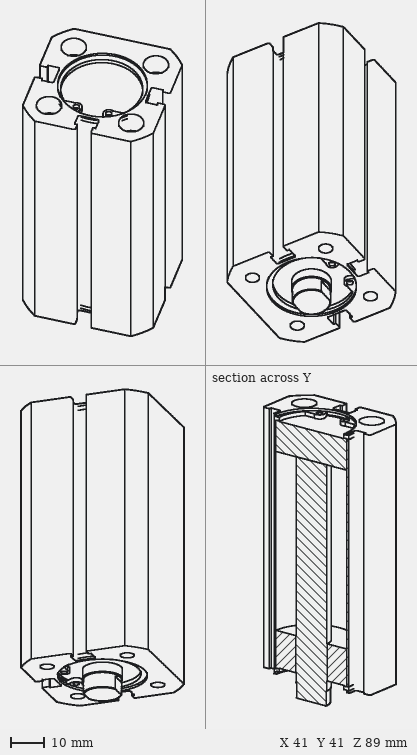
import cadquery as cq
import math

width = 41.0
half_width = width / 2
length = 83.0
corner_radius = 25.45

mouth_width = 4.9
mouth_depth = 2.4
mouth_fillet = 0.5
slot_width = 6.6
slot_depth = 6.1
slot_floor_fillet = 0.5
slot_angles = (-90, 0, 90)

hole_offset = 12.9
hole_diameter = 4.2
counterbore_diameter = 7.6
counterbore_depth = 7.0

bore_diameter = 27.0
groove_diameter = 28.6
ring_inset = 0.75
ring_thickness = 1.3
ring_inner_diameter = 24.7
ring_inner_offset = -0.8
lug_x = 5.1
lug_y = -10.4
lug_radius = 1.75
lug_hole_diameter = 1.9
lug_web_drop = 0.2

head_cover_thickness = 10.0
rod_cover_thickness = 12.0

rod_diameter = 12.0
rod_reach = 6.0
shoulder_reach = 1.2
tip_diameter = 11.5
shoulder_chamfer = (rod_diameter - tip_diameter) / 2
tip_chamfer = 0.2
across_flats = 10.2
flat_start = 1.9

groove_radius = groove_diameter / 2
top_ring_base = length - ring_inset - ring_thickness
bottom_ring_base = ring_inset
head_cover_base = top_ring_base - head_cover_thickness
rod_cover_base = bottom_ring_base + ring_thickness
lug_angle = math.degrees(math.atan2(lug_x, -lug_y))


def disc(diameter, height, base=0.0):
    return cq.Workplane("XY").workplane(offset=base).circle(diameter / 2).extrude(height)


def make_slot():
    """T-slot cutter for the -Y side: flared mouth, then a wider chamber with a rounded floor."""
    mouth_half = mouth_width / 2
    lip_start = -half_width + mouth_fillet
    mouth_end = -half_width + mouth_depth
    mouth = (
        cq.Workplane("XY")
        .moveTo(-mouth_half - mouth_fillet, -half_width)
        .radiusArc((-mouth_half, lip_start), -mouth_fillet)
        .lineTo(-mouth_half, mouth_end)
        .lineTo(mouth_half, mouth_end)
        .lineTo(mouth_half, lip_start)
        .radiusArc((mouth_half + mouth_fillet, -half_width), -mouth_fillet)
        .close()
        .extrude(length)
    )
    chamber_depth = slot_depth - mouth_depth
    chamber = (
        cq.Workplane("XY")
        .center(0, mouth_end + chamber_depth / 2)
        .rect(slot_width, chamber_depth)
        .extrude(length)
        .edges("|Z and >Y")
        .fillet(slot_floor_fillet)
    )
    return mouth.union(chamber)


def make_housing():
    body = cq.Workplane("XY").rect(width, width).extrude(length)
    body = body.intersect(disc(2 * corner_radius, length))
    for angle in slot_angles:
        body = body.cut(make_slot().rotate((0, 0, 0), (0, 0, 1), angle))
    body = (
        body.faces(">Z")
        .workplane(origin=(0, 0, length))
        .rect(2 * hole_offset, 2 * hole_offset, forConstruction=True)
        .vertices()
        .cboreHole(hole_diameter, counterbore_diameter, counterbore_depth)
    )
    body = body.cut(disc(bore_diameter, length))
    for base in (bottom_ring_base, top_ring_base):
        body = body.cut(disc(groove_diameter, ring_thickness, base))
    return body


def make_lug(side):
    """Lug for ring pliers: a round eye, a neck running out to the rim and a web to the ring arm."""
    eye = cq.Workplane("XY").center(side * lug_x, lug_y).circle(lug_radius).extrude(ring_thickness)
    neck = (
        cq.Workplane("XY")
        .center(0, -groove_radius / 2)
        .rect(2 * lug_radius, groove_radius)
        .extrude(ring_thickness)
        .rotate((0, 0, 0), (0, 0, 1), side * lug_angle)
        .translate((side * lug_x, lug_y, 0))
    )
    web_top = lug_y + lug_radius - lug_web_drop
    web = (
        cq.Workplane("XY")
        .center(side * (lug_x + groove_radius / 2), web_top - groove_radius / 2)
        .rect(groove_radius, groove_radius)
        .extrude(ring_thickness)
    )
    rim = disc(groove_diameter, ring_thickness)
    return eye.union(neck).union(web).intersect(rim)


def make_ring(base):
    """Internal retaining ring: thick opposite its gap, thinning towards the two lugs."""
    inside = disc(ring_inner_diameter, ring_thickness).translate((0, ring_inner_offset, 0))
    gap = (
        cq.Workplane("XY")
        .polyline([(0, 0), (2 * lug_x, 2 * lug_y), (-2 * lug_x, 2 * lug_y)])
        .close()
        .extrude(ring_thickness)
    )
    ring = disc(groove_diameter, ring_thickness).cut(inside).cut(gap)
    for side in (-1, 1):
        ring = ring.union(make_lug(side))
    plier_holes = (
        cq.Workplane("XY")
        .pushPoints([(-lug_x, lug_y), (lug_x, lug_y)])
        .circle(lug_hole_diameter / 2)
        .extrude(ring_thickness)
    )
    return ring.cut(plier_holes).translate((0, 0, base))


def make_head_cover():
    return disc(bore_diameter, head_cover_thickness, head_cover_base)


def make_rod_cover():
    cover = disc(bore_diameter, rod_cover_thickness, rod_cover_base)
    return cover.cut(disc(rod_diameter, rod_cover_thickness, rod_cover_base))


def make_flat_cutter(side):
    """Cuts one wrench flat on the +Y or -Y side; its upper end runs out at 45 degrees."""
    flat_y = across_flats / 2
    outer_y = rod_diameter / 2
    runout = outer_y - flat_y
    return (
        cq.Workplane("YZ")
        .moveTo(side * flat_y, -rod_reach)
        .lineTo(side * flat_y, -flat_start)
        .lineTo(side * outer_y, -flat_start + runout)
        .lineTo(side * outer_y, -rod_reach)
        .close()
        .extrude(rod_diameter, both=True)
    )


def make_rod():
    """Rod reaching up to the head cover, with a slightly thinner tip that carries two flats."""
    tip = disc(tip_diameter, rod_reach, -rod_reach).faces("<Z").chamfer(tip_chamfer)
    for side in (-1, 1):
        tip = tip.cut(make_flat_cutter(side))
    shaft = disc(rod_diameter, shoulder_reach + head_cover_base, -shoulder_reach)
    shaft = shaft.faces("<Z").chamfer(shoulder_chamfer)
    return shaft.union(tip)


housing = make_housing()
rings = [make_ring(base) for base in (bottom_ring_base, top_ring_base)]
head_cover = make_head_cover()
rod_cover = make_rod_cover()
rod = make_rod()

result = cq.Compound.makeCompound(
    [housing.val(), *[ring.val() for ring in rings], head_cover.val(), rod_cover.val(), rod.val()]
)